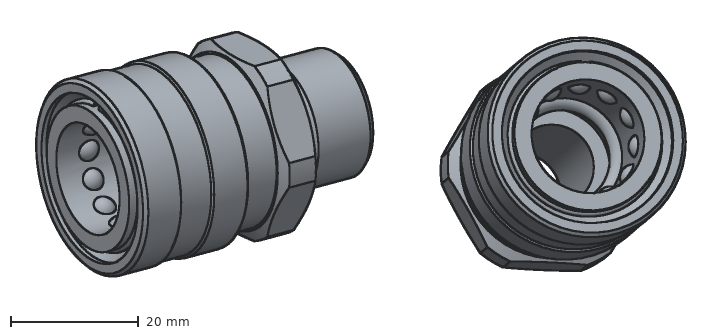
import cadquery as cq
import math

LENGTH = 47.0

CORE_DIA = 23.6
SOCKET_DIA = 18.1
SOCKET_DEPTH = 24.0
BORE_DIA = 13.0

SLEEVE_DIA = 31.8
SLEEVE_START = 0.3
SLEEVE_END = 19.8
SLEEVE_FRONT_CHAMFER = 0.6
SLEEVE_REAR_CHAMFER = 0.4
GRIP_DIA = 31.0
GRIP_START = 7.0
GRIP_END = 13.2
GRIP_FLANK = 0.3
MOUTH_DIA = 27.5
MOUTH_DEPTH = 0.9
MOUTH_CONE_ANGLE = 45.0

BALL_DIA = 4.2
BALL_COUNT = 12
BALL_TIP_DIA = 15.9
BALL_Y = 6.1

SNAP_WIRE_DIA = 1.2
SNAP_Y = 2.1
SNAP_GAP = 1.5

SEAL_INNER_DIA = 14.9
SEAL_Y = 17.0

BODY_DIA = 28.2
HEX_START = 26.0
HEX_END = 33.0
HEX_FLATS = 30.0
HEX_CORNER_DIA = 32.48
HEX_FACE_DIA = 28.9
HEX_CHAMFER_ANGLE = 30.0

SPIGOT_DIA = 20.96
SPIGOT_START = 36.2
SPIGOT_CHAMFER_LENGTH = 1.1
SPIGOT_END_DIA = 19.2
NECK_DIA = 18.5
NECK_FILLET = 0.9
NECK_FILLET_RISE = 0.5

OVERLAP = 0.5


def revolve(profile):
    """Turn a closed (radius, Y) profile around the Y axis."""
    return profile.close().revolve(360, (0, 0, 0), (0, 1, 0))


def disc(diameter, start, end):
    """Solid cylinder along Y."""
    radius = diameter / 2
    return revolve(cq.Workplane("XY").polyline([(0, start), (radius, start), (radius, end), (0, end)]))


def torus(ring_radius, wire_radius, y):
    """Round-wire ring around the Y axis."""
    return cq.Workplane(cq.Solid.makeTorus(ring_radius, wire_radius, cq.Vector(0, y, 0), cq.Vector(0, 1, 0)))


def make_sleeve():
    """Sleeve whose open mouth tapers inward to the core."""
    radius = SLEEVE_DIA / 2
    grip = GRIP_DIA / 2
    mouth = MOUTH_DIA / 2
    core = CORE_DIA / 2
    mouth_end = SLEEVE_START + MOUTH_DEPTH
    cone_end = mouth_end + (mouth - core) / math.tan(math.radians(MOUTH_CONE_ANGLE))
    return revolve(
        cq.Workplane("XY").polyline([
            (0, cone_end),
            (core, cone_end),
            (mouth, mouth_end),
            (mouth, SLEEVE_START),
            (radius - SLEEVE_FRONT_CHAMFER, SLEEVE_START),
            (radius, SLEEVE_START + SLEEVE_FRONT_CHAMFER),
            (radius, GRIP_START),
            (grip, GRIP_START + GRIP_FLANK),
            (grip, GRIP_END - GRIP_FLANK),
            (radius, GRIP_END),
            (radius, SLEEVE_END - SLEEVE_REAR_CHAMFER),
            (radius - SLEEVE_REAR_CHAMFER, SLEEVE_END),
            (0, SLEEVE_END),
        ])
    )


def make_hexagon():
    """Hexagon with two horizontal flats, corners turned down and chamfered at both ends."""
    corner = HEX_CORNER_DIA / 2
    face = HEX_FACE_DIA / 2
    chamfer_length = (corner - face) * math.tan(math.radians(HEX_CHAMFER_ANGLE))
    turned = revolve(
        cq.Workplane("XY").polyline([
            (0, HEX_START),
            (face, HEX_START),
            (corner, HEX_START + chamfer_length),
            (corner, HEX_END - chamfer_length),
            (face, HEX_END),
            (0, HEX_END),
        ])
    )
    across_corners = HEX_FLATS / math.cos(math.pi / 6)
    prism = (
        cq.Workplane("XZ", origin=(0, HEX_START, 0))
        .polygon(6, across_corners)
        .extrude(HEX_START - HEX_END)
    )
    return turned.intersect(prism)


def make_spigot():
    """Chamfered spigot, its undercut neck and the fillet against the hexagon."""
    radius = SPIGOT_DIA / 2
    neck = NECK_DIA / 2
    neck_end = SPIGOT_START - (radius - neck)
    sweep = math.acos(1 - NECK_FILLET_RISE / NECK_FILLET)
    fillet_length = NECK_FILLET * math.sin(sweep)
    arc_middle = (
        neck + NECK_FILLET * (1 - math.cos(sweep / 2)),
        HEX_END + fillet_length - NECK_FILLET * math.sin(sweep / 2),
    )
    return revolve(
        cq.Workplane("XY")
        .moveTo(0, HEX_END - OVERLAP)
        .lineTo(neck + NECK_FILLET_RISE, HEX_END - OVERLAP)
        .lineTo(neck + NECK_FILLET_RISE, HEX_END)
        .threePointArc(arc_middle, (neck, HEX_END + fillet_length))
        .lineTo(neck, neck_end)
        .lineTo(radius, SPIGOT_START)
        .lineTo(radius, LENGTH - SPIGOT_CHAMFER_LENGTH)
        .lineTo(SPIGOT_END_DIA / 2, LENGTH)
        .lineTo(0, LENGTH)
    )


def make_snap_ring():
    ring = torus(CORE_DIA / 2, SNAP_WIRE_DIA / 2, SNAP_Y)
    gap = cq.Workplane("XY").box(SNAP_GAP, 2 * SNAP_WIRE_DIA, CORE_DIA).translate((0, SNAP_Y, CORE_DIA / 2))
    return ring.cut(gap)


def make_seal():
    """Ring whose wire is centred on the socket wall, so its inner half stands proud."""
    wire_radius = (SOCKET_DIA - SEAL_INNER_DIA) / 2
    return torus(SOCKET_DIA / 2, wire_radius, SEAL_Y)


def add_balls(part):
    """Balls set in the socket wall, their tips on the tip diameter."""
    centre_radius = (BALL_TIP_DIA + BALL_DIA) / 2
    for index in range(BALL_COUNT):
        ball = cq.Workplane("XY").sphere(BALL_DIA / 2).translate((centre_radius, BALL_Y, 0))
        part = part.union(ball.rotate((0, 0, 0), (0, 1, 0), index * 360 / BALL_COUNT))
    return part


coupling = disc(CORE_DIA, 0, SLEEVE_END).union(make_sleeve())
coupling = coupling.union(disc(BODY_DIA, SLEEVE_END - OVERLAP, HEX_START + OVERLAP))
coupling = coupling.union(make_hexagon()).union(make_spigot()).union(make_snap_ring())
coupling = coupling.cut(disc(SOCKET_DIA, 0, SOCKET_DEPTH)).cut(disc(BORE_DIA, 0, LENGTH))
coupling = coupling.union(make_seal())
result = add_balls(coupling)